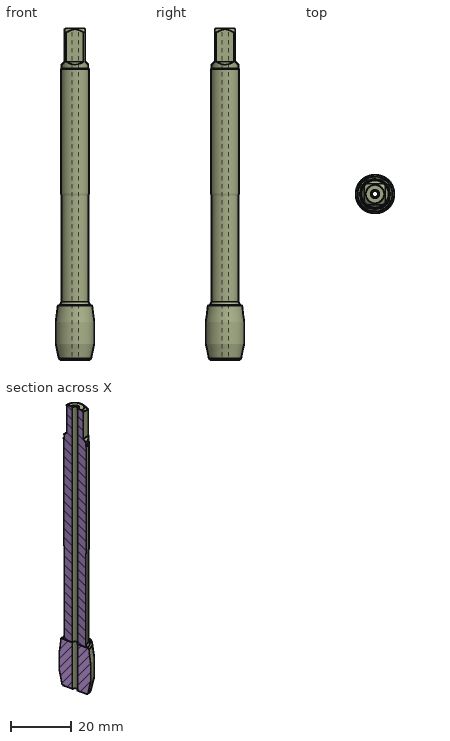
import cadquery as cq

TOTAL_LENGTH = 110.0
COOLANT_DIAMETER = 2.0
COUNTERSINK_DIAMETER = 2.8

HEAD_DIAMETER = 12.86
HEAD_HEIGHT = 18.3
HEAD_BAND_BOTTOM = 5.4
HEAD_BAND_TOP = 12.7
HEAD_TIP_DIAMETER = 10.8
HEAD_TIP_CHAMFER = 0.6
HEAD_SHOULDER_DIAMETER = 11.5
HEAD_SHOULDER_BEVEL_HEIGHT = 0.3

FLARE_DIAMETER = 10.0
FLARE_HEIGHT = 1.0
NECK_DIAMETER = 9.02
GRIP_DIAMETER = 9.32
GRIP_BOTTOM = 54.5
GRIP_TOP = 96.6
GRIP_LOWER_CHAMFER_HEIGHT = 0.65
GRIP_UPPER_CHAMFER_HEIGHT = 0.25
END_DIAMETER = 8.95
END_CHAMFER = 1.45

SQUARE_WIDTH = 6.95
SQUARE_BOTTOM = 98.9


def revolve_about_axis(profile):
    return profile.close().revolve(360, (0, 0, 0), (0, 1, 0))


def make_head():
    bore_radius = COOLANT_DIAMETER / 2
    band_radius = HEAD_DIAMETER / 2
    tip_radius = HEAD_TIP_DIAMETER / 2
    profile = (
        cq.Workplane("XZ")
        .moveTo(bore_radius, 0)
        .lineTo(tip_radius - HEAD_TIP_CHAMFER, 0)
        .lineTo(tip_radius, HEAD_TIP_CHAMFER)
        .lineTo(band_radius, HEAD_BAND_BOTTOM)
        .lineTo(band_radius, HEAD_BAND_TOP)
        .lineTo(HEAD_SHOULDER_DIAMETER / 2, HEAD_HEIGHT - HEAD_SHOULDER_BEVEL_HEIGHT)
        .lineTo(FLARE_DIAMETER / 2, HEAD_HEIGHT)
        .lineTo(bore_radius, HEAD_HEIGHT)
    )
    return revolve_about_axis(profile)


def make_round_shank():
    bore_radius = COOLANT_DIAMETER / 2
    countersink_radius = COUNTERSINK_DIAMETER / 2
    countersink_depth = countersink_radius - bore_radius
    neck_radius = NECK_DIAMETER / 2
    grip_radius = GRIP_DIAMETER / 2
    end_radius = END_DIAMETER / 2
    profile = (
        cq.Workplane("XZ")
        .moveTo(bore_radius, HEAD_HEIGHT)
        .lineTo(FLARE_DIAMETER / 2, HEAD_HEIGHT)
        .lineTo(neck_radius, HEAD_HEIGHT + FLARE_HEIGHT)
        .lineTo(neck_radius, GRIP_BOTTOM)
        .lineTo(grip_radius, GRIP_BOTTOM + GRIP_LOWER_CHAMFER_HEIGHT)
        .lineTo(grip_radius, GRIP_TOP - GRIP_UPPER_CHAMFER_HEIGHT)
        .lineTo(end_radius, GRIP_TOP)
        .lineTo(end_radius, TOTAL_LENGTH - END_CHAMFER)
        .lineTo(end_radius - END_CHAMFER, TOTAL_LENGTH)
        .lineTo(countersink_radius, TOTAL_LENGTH)
        .lineTo(bore_radius, TOTAL_LENGTH - countersink_depth)
    )
    return revolve_about_axis(profile)


def make_flat_cutter():
    """Block that mills one flat on the +X side, with a 45 degree run-out below it."""
    flat_x = SQUARE_WIDTH / 2
    outer_x = GRIP_DIAMETER / 2
    return (
        cq.Workplane("XZ")
        .moveTo(flat_x, TOTAL_LENGTH)
        .lineTo(flat_x, SQUARE_BOTTOM)
        .lineTo(outer_x, SQUARE_BOTTOM - (outer_x - flat_x))
        .lineTo(outer_x, TOTAL_LENGTH)
        .close()
        .extrude(GRIP_DIAMETER / 2, both=True)
    )


def make_shank():
    shank = make_round_shank()
    cutter = make_flat_cutter()
    for angle in (0, 90, 180, 270):
        shank = shank.cut(cutter.rotate((0, 0, 0), (0, 0, 1), angle))
    return shank


head = make_head()
shank = make_shank()

result = cq.Compound.makeCompound([head.val(), shank.val()])